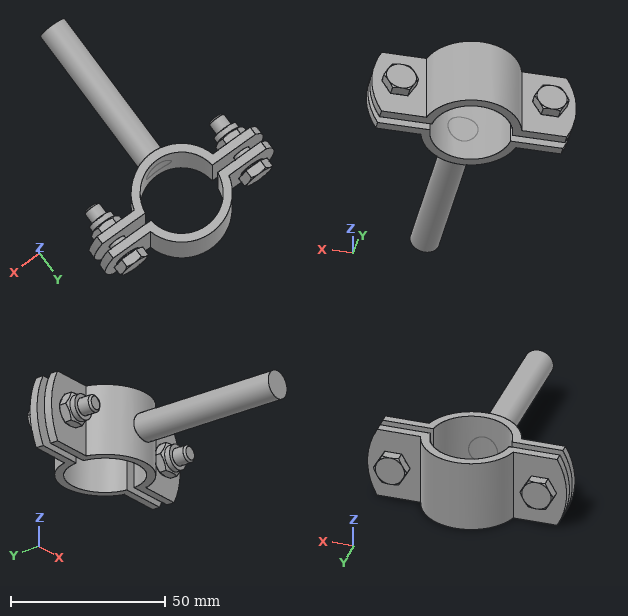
import cadquery as cq
import math

strap_height = 25.0
strap_thickness = 3.0
gap = 3.0
bore_radius = 13.5
ring_radius = bore_radius + strap_thickness
ear_reach = 34.0
ear_corner_x = 30.8
ear_inner_y = gap / 2
ear_outer_y = ear_inner_y + strap_thickness

overall_depth = 87.4
rod_diameter = 10.0
rod_end_y = ring_radius - overall_depth

bolt_x = 25.0
bolt_diameter = 6.0
bolt_tip_chamfer = 0.7
bolt_length = 20.0
hex_across_flats = 10.0
hex_across_corners = hex_across_flats / math.cos(math.pi / 6)
washer_face_diameter = 8.7
washer_face_height = 0.5
head_height = 3.5
head_face_diameter = 10.0

nut_hex_height = 4.0
nut_collar_diameter = 8.9
nut_collar_height = 2.0
nut_seat_diameter = 9.3

chamfer_slope = math.tan(math.pi / 6)


def cylinder_y(x, start_y, end_y, diameter):
    """Cylinder along Y from start_y to end_y."""
    direction = cq.Vector(0, math.copysign(1, end_y - start_y), 0)
    return cq.Workplane(cq.Solid.makeCylinder(
        diameter / 2, abs(end_y - start_y), cq.Vector(x, start_y, 0), direction))


def hexagon_y(x, low_y, height):
    """Hexagonal prism along Y with corners toward -X and +X."""
    return (
        cq.Workplane("XZ", origin=(x, low_y, 0))
        .polygon(6, hex_across_corners)
        .extrude(-height)
    )


def corner_cone(x, face_y, height, face_diameter, direction):
    """Cone widening along Y from a hexagon's end face, used to trim its corners."""
    face_radius = face_diameter / 2
    wide_radius = face_radius + height / chamfer_slope
    return cq.Workplane(cq.Solid.makeCone(
        face_radius, wide_radius, height, cq.Vector(x, face_y, 0), cq.Vector(0, direction, 0)))


def make_bore():
    """Pipe passage through the full height of the clamp."""
    return cq.Workplane("XY").circle(bore_radius).extrude(strap_height, both=True)


def make_strap_half(side):
    """Half ring with two round-ended ears; side is +1 for +Y and -1 for -Y."""
    ring = cq.Workplane("XY").circle(ring_radius).extrude(strap_height / 2, both=True)
    half_space = (
        cq.Workplane("XY")
        .box(2 * ring_radius, ring_radius, strap_height)
        .translate((0, side * (ear_inner_y + ring_radius / 2), 0))
    )
    half_height = strap_height / 2
    ears = (
        cq.Workplane("XZ", origin=(0, side * ear_inner_y, 0))
        .moveTo(-ear_corner_x, -half_height)
        .lineTo(ear_corner_x, -half_height)
        .threePointArc((ear_reach, 0), (ear_corner_x, half_height))
        .lineTo(-ear_corner_x, half_height)
        .threePointArc((-ear_reach, 0), (-ear_corner_x, -half_height))
        .close()
        .extrude(-side * strap_thickness)
    )
    half = ring.intersect(half_space).union(ears).cut(make_bore())
    for x in (-bolt_x, bolt_x):
        half = half.cut(cylinder_y(x, 0, side * ring_radius, bolt_diameter))
    return half


def make_rod_strap_half():
    """The -Y strap half with its rod, which ends on the bore surface."""
    rod = cylinder_y(0, 0, rod_end_y, rod_diameter)
    return make_strap_half(-1).union(rod.cut(make_bore()))


def make_bolt(x):
    """Hex bolt seated on the +Y ear, pointing toward -Y."""
    head_y = ear_outer_y + washer_face_height
    tip_y = ear_outer_y - bolt_length
    head_trim = corner_cone(x, head_y + head_height, head_height, head_face_diameter, -1)
    head = hexagon_y(x, head_y, head_height).intersect(head_trim)
    washer_face = cylinder_y(x, ear_outer_y, head_y, washer_face_diameter)
    shank = (
        cylinder_y(x, head_y, tip_y, bolt_diameter)
        .faces("<Y")
        .chamfer(bolt_tip_chamfer)
    )
    return head.union(washer_face).union(shank)


def make_nut(x):
    """Hex nut with a round locking collar, seated on the -Y ear."""
    hex_low_y = -ear_outer_y - nut_hex_height
    collar_end_y = hex_low_y - nut_collar_height
    collar_trim = corner_cone(x, hex_low_y, nut_hex_height, nut_collar_diameter, 1)
    seat_trim = corner_cone(x, -ear_outer_y, nut_hex_height, nut_seat_diameter, -1)
    body = hexagon_y(x, hex_low_y, nut_hex_height).intersect(collar_trim).intersect(seat_trim)
    collar = cylinder_y(x, hex_low_y, collar_end_y, nut_collar_diameter)
    bore = cylinder_y(x, 0, rod_end_y, bolt_diameter)
    return body.union(collar).cut(bore)


back_strap = make_strap_half(1)
rod_strap = make_rod_strap_half()
bolts = [make_bolt(x) for x in (-bolt_x, bolt_x)]
nuts = [make_nut(x) for x in (-bolt_x, bolt_x)]

result = cq.Compound.makeCompound([
    back_strap.solids().val(),
    rod_strap.solids().val(),
    *[bolt.solids().val() for bolt in bolts],
    *[nut.solids().val() for nut in nuts],
])